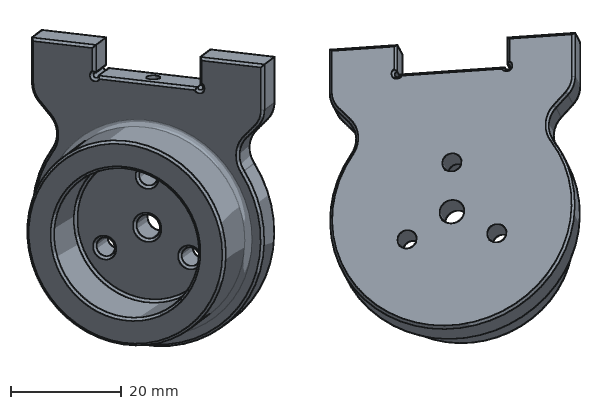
import cadquery as cq
import math

width = 45.1
height = 55.7
disc_radius = 22.5
plate_thickness = 6.0
edge_chamfer = 0.5
top_z = height - disc_radius
half_width = width / 2

bend_radius = 5.0
shoulder_z = 24.7
neck_x = 22.7
neck_z = math.sqrt((disc_radius + bend_radius) ** 2 - neck_x**2)

notch_width = 20.2
notch_depth = 5.75
relief_radius = 0.5
notch_floor_z = top_z - notch_depth

total_depth = 16.75
boss_radius = 19.3
boss_fillet = 1.0
bore_radius = 14.05
bore_depth = total_depth - plate_thickness

center_hole_diameter = 4.5
bolt_hole_diameter = 3.5
bolt_circle_radius = 9.5
bolt_count = 3
pin_hole_diameter = 2.5
pin_hole_depth = 7.8

back_y = plate_thickness / 2
front_y = back_y - total_depth
bore_floor_y = front_y + bore_depth


def polar(center, radius, angle):
    """Point at an angle (radians) on a circle in the sketch plane."""
    return (center[0] + radius * math.cos(angle), center[1] + radius * math.sin(angle))


def mirrored(point):
    return (-point[0], point[1])


def plate_outline():
    """Disc, necks and tabs, with both sides mirrored about the Z axis."""
    shoulder = (half_width - bend_radius, shoulder_z)
    neck = (neck_x, neck_z)
    run_x = neck[0] - shoulder[0]
    run_z = neck[1] - shoulder[1]
    flank_angle = math.atan2(run_z, run_x) + math.acos(2 * bend_radius / math.hypot(run_x, run_z))
    shoulder_end = polar(shoulder, bend_radius, flank_angle)
    shoulder_middle = polar(shoulder, bend_radius, flank_angle / 2)
    neck_start = polar(neck, bend_radius, flank_angle + math.pi)
    disc_angle = math.atan2(neck_z, neck_x)
    disc_point = polar((0, 0), disc_radius, disc_angle)
    neck_middle = polar(neck, bend_radius, math.pi + (flank_angle + disc_angle) / 2)

    return (
        cq.Workplane("XZ", origin=(0, back_y, 0))
        .moveTo(-half_width, top_z)
        .lineTo(half_width, top_z)
        .lineTo(half_width, shoulder_z)
        .threePointArc(shoulder_middle, shoulder_end)
        .lineTo(*neck_start)
        .threePointArc(neck_middle, disc_point)
        .threePointArc((0, -disc_radius), mirrored(disc_point))
        .threePointArc(mirrored(neck_middle), mirrored(neck_start))
        .lineTo(*mirrored(shoulder_end))
        .threePointArc(mirrored(shoulder_middle), (-half_width, shoulder_z))
        .close()
    )


def make_plate():
    """Plate with a relieved notch, chamfered around both faces."""
    plate = plate_outline().extrude(plate_thickness)
    notch = cq.Workplane("XY").box(notch_width, plate_thickness, 2 * notch_depth)
    reliefs = (
        cq.Workplane("XZ", origin=(0, back_y, 0))
        .pushPoints([(side * notch_width / 2, notch_floor_z) for side in (-1, 1)])
        .circle(relief_radius)
        .extrude(plate_thickness)
    )
    plate = plate.cut(notch.translate((0, 0, top_z))).cut(reliefs)
    return plate.faces("<Y or >Y").edges().chamfer(edge_chamfer)


def make_boss():
    """Turned boss with a chamfered rim and a concave fillet at the plate."""
    plate_front_y = -back_y
    fillet_middle = polar(
        (boss_radius + boss_fillet, plate_front_y - boss_fillet), boss_fillet, 3 * math.pi / 4
    )
    return (
        cq.Workplane("XY")
        .moveTo(0, front_y)
        .lineTo(boss_radius - edge_chamfer, front_y)
        .lineTo(boss_radius, front_y + edge_chamfer)
        .lineTo(boss_radius, plate_front_y - boss_fillet)
        .threePointArc(fillet_middle, (boss_radius + boss_fillet, plate_front_y))
        .lineTo(boss_radius + boss_fillet, 0)
        .lineTo(0, 0)
        .close()
        .revolve(360, (0, 0, 0), (0, 1, 0))
    )


def make_bore():
    """Blind bore with a flared mouth and a chamfered floor edge."""
    bore = cq.Workplane("XZ", origin=(0, bore_floor_y, 0)).circle(bore_radius).extrude(bore_depth)
    bore = bore.faces(">Y").edges().chamfer(edge_chamfer)
    return bore.union(make_flare(bore_radius, front_y))


def make_flare(radius, face_y):
    """Cone that chamfers a hole where it opens into a face that looks toward -Y."""
    return (
        cq.Workplane("XY")
        .moveTo(0, face_y)
        .lineTo(radius + edge_chamfer, face_y)
        .lineTo(radius, face_y + edge_chamfer)
        .lineTo(0, face_y + edge_chamfer)
        .close()
        .revolve(360, (0, 0, 0), (0, 1, 0))
    )


def make_floor_hole(diameter):
    """Through hole on the disc axis, chamfered at the bore floor."""
    radius = diameter / 2
    hole = cq.Workplane("XZ", origin=(0, back_y, 0)).circle(radius).extrude(back_y - bore_floor_y)
    return hole.union(make_flare(radius, bore_floor_y))


def make_pin_hole():
    """Blind hole going down from the middle of the notch floor."""
    top = cq.Workplane("XY", origin=(0, 0, notch_floor_z))
    return top.circle(pin_hole_diameter / 2).extrude(-pin_hole_depth)


result = make_plate().union(make_boss()).cut(make_bore())
result = result.cut(make_floor_hole(center_hole_diameter))
bolt_hole = make_floor_hole(bolt_hole_diameter).translate((0, 0, bolt_circle_radius))
for index in range(bolt_count):
    result = result.cut(bolt_hole.rotate((0, 0, 0), (0, 1, 0), index * 360 / bolt_count))
result = result.cut(make_pin_hole())